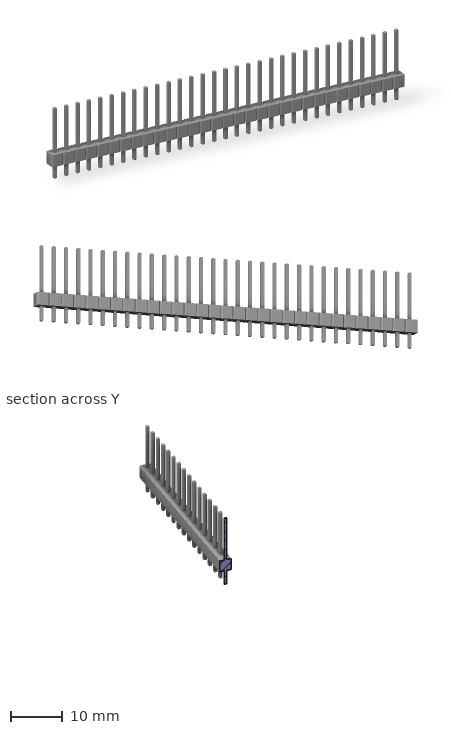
import cadquery as cq

pin_count = 31
pitch = 2.54

housing_width = pitch
housing_height = pitch
corner_chamfer = pitch / 10

pin_side = 0.64
pin_length = 15.0
solder_tail_length = 3.0
tip_chamfer = pin_side / 4

cell_centres = [(0, (index - (pin_count - 1) / 2) * pitch) for index in range(pin_count)]


def make_cell():
    """One housing cell: a square block with its four upright corners cut off."""
    block = cq.Workplane("XY").box(
        housing_width, pitch, housing_height, centered=(True, True, False)
    )
    return block.edges("|Z").chamfer(corner_chamfer)


def make_pin():
    """One square pin through the housing, tapered at both tips."""
    bar = cq.Workplane("XY", origin=(0, 0, -solder_tail_length)).box(
        pin_side, pin_side, pin_length, centered=(True, True, False)
    )
    return bar.faces("<Z or >Z").edges().chamfer(tip_chamfer)


def make_row(single):
    """Copies of one solid at every cell centre."""
    shape = single.val()
    return cq.Workplane("XY").pushPoints(cell_centres).eachpoint(
        lambda location: shape.moved(location)
    )


housing = make_row(make_cell()).combine(clean=True)
result = housing.union(make_row(make_pin()))